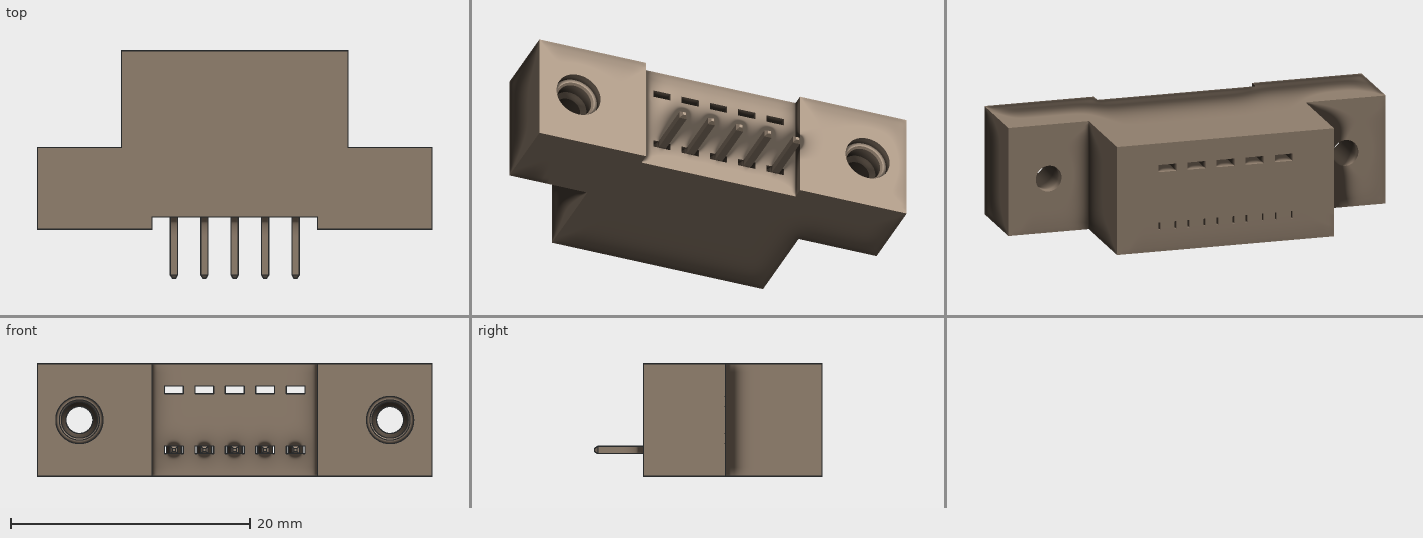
import cadquery as cq

flange_width = 33.02
flange_depth = 6.87
housing_depth = 14.95
housing_height = 9.4
block_width = 19.0
recess_width = 13.85
recess_depth = 1.02

contact_count = 5
contact_pitch = 2.55
row_offset = 2.5
slot_width = 1.55
slot_height = 0.63

tail_reach = 4.1
tail_width = 0.63
tip_length = 0.3
tip_width = 0.25
shoulder_width = 1.25
taper_start = 0.1
taper_length = 0.8

bushing_spacing = 26.0
bushing_radius = 1.98
bushing_setback = 0.83
mouth_radius = 1.7
throat_radius = 1.52
bore_radius = 1.12
mouth_chamfer = mouth_radius - throat_radius
throat_depth = 1.1

contact_places = [(i - (contact_count - 1) / 2) * contact_pitch for i in range(contact_count)]
bushing_places = [-bushing_spacing / 2, bushing_spacing / 2]


def box_between(width, height, y_front, y_back):
    """Box centred on X and Z that runs from y_front to y_back."""
    return cq.Workplane("XY").box(width, y_back - y_front, height).translate((0, (y_front + y_back) / 2, 0))


def build_housing():
    housing = box_between(flange_width, housing_height, 0, flange_depth)
    housing = housing.union(box_between(block_width, housing_height, 0, housing_depth))
    housing = housing.cut(box_between(recess_width, housing_height, 0, recess_depth))

    slot = box_between(slot_width, slot_height, recess_depth, housing_depth)
    for x in contact_places:
        for z in (-row_offset, row_offset):
            housing = housing.cut(slot.translate((x, 0, z)))

    hole = cq.Workplane("XZ").circle(bushing_radius).extrude(-flange_depth)
    for x in bushing_places:
        housing = housing.cut(hole.translate((x, 0, 0)))
    return housing


def build_contact(x):
    tip_base = tip_length - tail_reach
    taper_front = recess_depth + taper_start
    taper_back = taper_front + taper_length

    right_side = [
        (tail_width / 2, tip_base),
        (tail_width / 2, taper_front),
        (shoulder_width / 2, taper_back),
        (shoulder_width / 2, housing_depth),
    ]
    left_side = [(-px, py) for px, py in reversed(right_side)]
    body = (
        cq.Workplane("XY", origin=(0, 0, -slot_height / 2))
        .polyline(right_side + left_side)
        .close()
        .extrude(slot_height)
    )
    tip = (
        cq.Workplane("XZ", origin=(0, tip_base, 0))
        .rect(tail_width, slot_height)
        .workplane(offset=tip_length)
        .rect(tip_width, tip_width)
        .loft(ruled=True)
    )
    return body.union(tip).translate((x, 0, -row_offset))


def build_bushing(x):
    throat_start = bushing_setback + mouth_chamfer
    throat_end = throat_start + throat_depth
    bore_start = throat_end + throat_radius - bore_radius
    section = [
        (bushing_radius, bushing_setback),
        (mouth_radius, bushing_setback),
        (throat_radius, throat_start),
        (throat_radius, throat_end),
        (bore_radius, bore_start),
        (bore_radius, flange_depth),
        (bushing_radius, flange_depth),
    ]
    ring = cq.Workplane("XY").polyline(section).close().revolve(360, (0, 0, 0), (0, 1, 0))
    return ring.translate((x, 0, 0))


housing = build_housing()
contacts = [build_contact(x) for x in contact_places]
bushings = [build_bushing(x) for x in bushing_places]

result = cq.Compound.makeCompound(
    [housing.val(), *[contact.val() for contact in contacts], *[bushing.val() for bushing in bushings]]
)